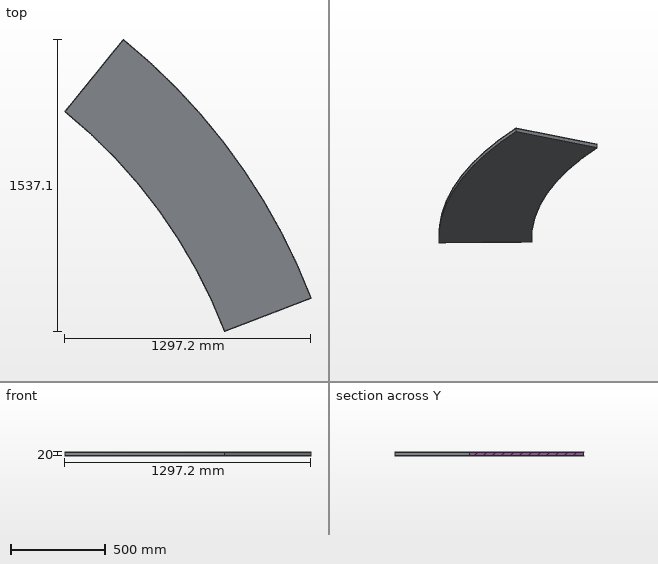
import cadquery as cq
import math

outer_radius = 3252.0
panel_width = 489.0
inner_radius = outer_radius - panel_width
thickness = 20.0
start_angle = 21.0
sweep_angle = 30.0

middle_angle = start_angle + sweep_angle / 2
end_angle = start_angle + sweep_angle


def arc_point(radius, angle):
    """Point at a radius and an angle in degrees from the X axis."""
    return (
        radius * math.cos(math.radians(angle)),
        radius * math.sin(math.radians(angle)),
    )


result = (
    cq.Workplane("XY")
    .moveTo(*arc_point(inner_radius, start_angle))
    .lineTo(*arc_point(outer_radius, start_angle))
    .threePointArc(arc_point(outer_radius, middle_angle), arc_point(outer_radius, end_angle))
    .lineTo(*arc_point(inner_radius, end_angle))
    .threePointArc(arc_point(inner_radius, middle_angle), arc_point(inner_radius, start_angle))
    .close()
    .extrude(thickness)
)